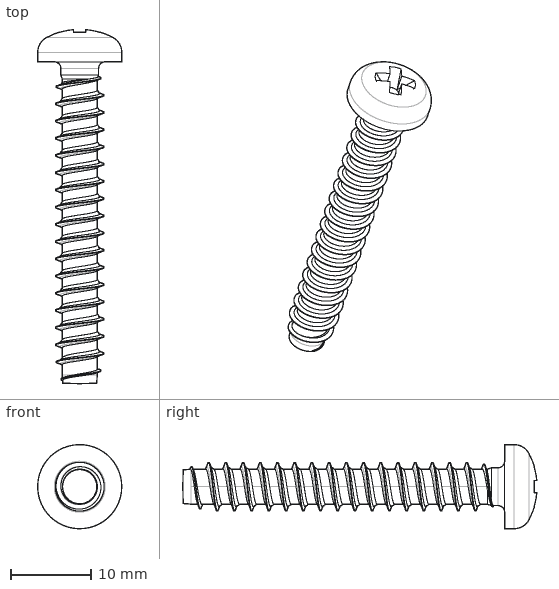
import cadquery as cq
import math


head_radius = 5.25
head_height = 4.095
rim_height = 1.2
dome_radius = 8.7

recess_radius = 2.9
recess_floor_radius = 1.0
recess_depth = 2.4
wing_width = 1.5

shank_length = 40.0
neck_radius = 2.37
neck_fillet = 0.8
neck_length = 1.62
neck_taper_length = 0.5
core_radius = 2.2
tip_radius = 2.12
tip_taper_length = 1.0
tip_cone_height = 0.07

pitch = 2.143
crest_radius = 3.04
crest_width = 0.08
knee_radius = 2.5
knee_width = 0.45
foot_radius = 2.05
foot_offset_head_side = 0.85
foot_offset_tip_side = 0.45
crest_y_at_plus_x = -4.15
run_out_slope = 0.28
full_thread_top = -3.4
full_thread_bottom = -37.0
thread_top = -0.95
thread_bottom = -39.9
points_per_turn = 16


def shank_and_head():
    """Revolve the screw body, without thread and recess, about the Y axis."""
    dome_center = head_height - dome_radius
    rise = rim_height - dome_center
    shoulder_radius = (dome_radius**2 - head_radius**2 - rise**2) / (2 * (dome_radius - head_radius))
    shoulder_center = head_radius - shoulder_radius
    dome_angle = math.atan2(shoulder_center, rise)
    dome_edge = (dome_radius * math.sin(dome_angle), dome_center + dome_radius * math.cos(dome_angle))
    dome_middle = (
        dome_radius * math.sin(dome_angle / 2),
        dome_center + dome_radius * math.cos(dome_angle / 2),
    )
    shoulder_angle = (dome_angle + math.pi / 2) / 2
    shoulder_middle = (
        shoulder_center + shoulder_radius * math.sin(shoulder_angle),
        rim_height + shoulder_radius * math.cos(shoulder_angle),
    )
    fillet_offset = neck_fillet * (1 - math.sqrt(0.5))
    outline = (
        cq.Workplane("XY")
        .moveTo(0, head_height)
        .threePointArc(dome_middle, dome_edge)
        .threePointArc(shoulder_middle, (head_radius, rim_height))
        .lineTo(head_radius, 0)
        .lineTo(neck_radius + neck_fillet, 0)
        .threePointArc((neck_radius + fillet_offset, -fillet_offset), (neck_radius, -neck_fillet))
        .lineTo(neck_radius, -neck_length)
        .lineTo(core_radius, -neck_length - neck_taper_length)
        .lineTo(core_radius, tip_taper_length - shank_length)
        .lineTo(tip_radius, -shank_length)
        .lineTo(0, -shank_length - tip_cone_height)
        .close()
    )
    return outline.revolve(360, (0, 0, 0), (0, 1, 0))


def cross_recess():
    """Two crossed wings whose outer ends taper inward towards the floor."""
    top = head_height
    floor = head_height - recess_depth
    taper = (
        cq.Workplane("XY")
        .polyline([(0, floor), (recess_floor_radius, floor), (recess_radius, top), (0, top)])
        .close()
        .revolve(360, (0, 0, 0), (0, 1, 0))
    )
    length = 2 * recess_radius
    middle = (0, top - recess_depth / 2, 0)
    wing_x = cq.Workplane("XY").box(length, recess_depth, wing_width).translate(middle)
    wing_z = cq.Workplane("XY").box(wing_width, recess_depth, length).translate(middle)
    return wing_x.union(wing_z).intersect(taper)


def run_out(y):
    """Depth by which the thread ridge sinks into the shank at height y."""
    return run_out_slope * max(0, y - full_thread_top, full_thread_bottom - y)


def thread_point(y, radius, offset):
    """Point on a thread edge; offset is its distance along Y from the ridge centre."""
    angle = 2 * math.pi * (y - crest_y_at_plus_x) / pitch
    r = radius - run_out(y)
    return cq.Vector(r * math.cos(angle), y + offset, -r * math.sin(angle))


def thread_span(y_start, y_end, profile):
    """Solid ridge with the given (radius, offset) profile between two heights."""
    steps = math.ceil((y_end - y_start) / pitch * points_per_turn)
    heights = [y_start + (y_end - y_start) * i / steps for i in range(steps + 1)]
    edges = [
        cq.Edge.makeSpline([thread_point(y, radius, offset) for y in heights])
        for radius, offset in profile
    ]
    flanks = [cq.Face.makeRuledSurface(edges[i - 1], edges[i]) for i in range(len(edges))]
    caps = []
    for y in (y_start, y_end):
        corners = [thread_point(y, radius, offset) for radius, offset in profile]
        caps.append(cq.Face.makeFromWires(cq.Wire.makePolygon(corners, close=True)))
    return cq.Solid.makeSolid(cq.Shell.makeShell(flanks + caps)).fix()


def thread():
    """Ridge with a steep crest and a flared foot, sinking into the shank at both ends."""
    profile = [
        (foot_radius, foot_offset_head_side),
        (knee_radius, knee_width / 2),
        (crest_radius, crest_width / 2),
        (crest_radius, -crest_width / 2),
        (knee_radius, -knee_width / 2),
        (foot_radius, -foot_offset_tip_side),
    ]
    ridge = thread_span(thread_bottom, thread_top, profile)
    envelope = cq.Solid.makeCylinder(
        head_radius, shank_length, cq.Vector(0, -shank_length, 0), cq.Vector(0, 1, 0)
    )
    return ridge.intersect(envelope)


result = shank_and_head().cut(cross_recess()).union(cq.Workplane(thread()))